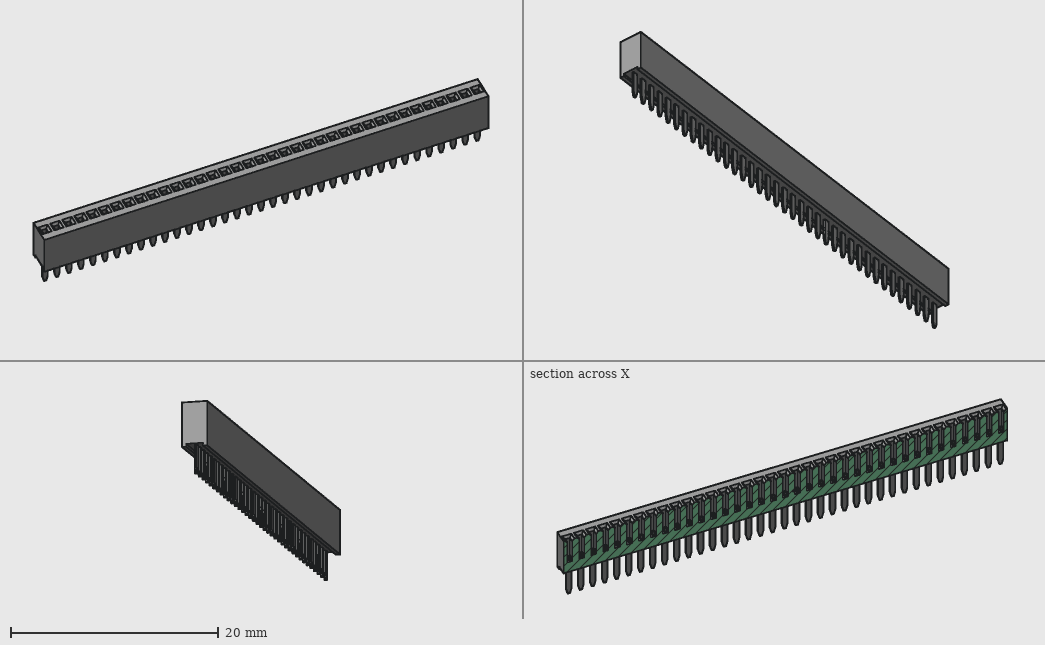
import cadquery as cq
import math

pin_count = 37
body_length = 47.0
body_width = 2.55
body_height = 4.4
pitch = body_length / pin_count

channel_width = 1.7
channel_depth = 0.3

mouth_angle = 45
mouth_depth = 0.25
hole_size = 2 * mouth_depth
mouth_size = hole_size + 2 * mouth_depth * math.tan(math.radians(mouth_angle))
hole_depth = 2.8

total_height = 7.0
pin_length = total_height - body_height + channel_depth
pin_width = 0.55
pin_thickness = 0.2
tip_width = 0.25
tip_height = 0.6

post_size = pin_thickness
post_height = 0.45
post_offset = -post_size / 2


def make_housing():
    """Rectangular bar standing on Z = 0, with the channel cut from below."""
    bar = cq.Workplane("XY").box(body_width, body_length, body_height, centered=(True, True, False))
    channel = cq.Workplane("XY").box(channel_width, body_length, channel_depth, centered=(True, True, False))
    return bar.cut(channel)


def make_socket():
    """Cutting tool for one socket, centred on the Z axis, with the contact post left standing."""
    top = cq.Workplane("XY").workplane(offset=body_height)
    mouth = top.rect(mouth_size, mouth_size).extrude(-mouth_depth, taper=mouth_angle)
    hole = top.rect(hole_size, hole_size).extrude(-hole_depth)
    floor = cq.Workplane("XY").workplane(offset=body_height - hole_depth)
    post = floor.center(0, post_offset).rect(post_size, post_size).extrude(post_height)
    return mouth.union(hole).cut(post)


def make_pin():
    """Flat pin hanging from the channel roof, centred on the Z axis."""
    shank_length = pin_length - tip_height
    roof = cq.Workplane("XY").workplane(offset=channel_depth)
    shank = roof.rect(pin_thickness, pin_width).extrude(-shank_length)
    tip = (
        roof.workplane(offset=-shank_length)
        .rect(pin_thickness, pin_width)
        .workplane(offset=-tip_height)
        .rect(pin_thickness, tip_width)
        .loft(ruled=True)
    )
    return shank.union(tip)


positions = [(0, (i - (pin_count - 1) / 2) * pitch) for i in range(pin_count)]


def at_each_position(shape):
    """One copy of the shape at every pin position along the bar."""
    solid = shape.val()
    return cq.Workplane("XY").pushPoints(positions).eachpoint(lambda place: solid.moved(place))


result = make_housing().cut(at_each_position(make_socket())).union(at_each_position(make_pin()))